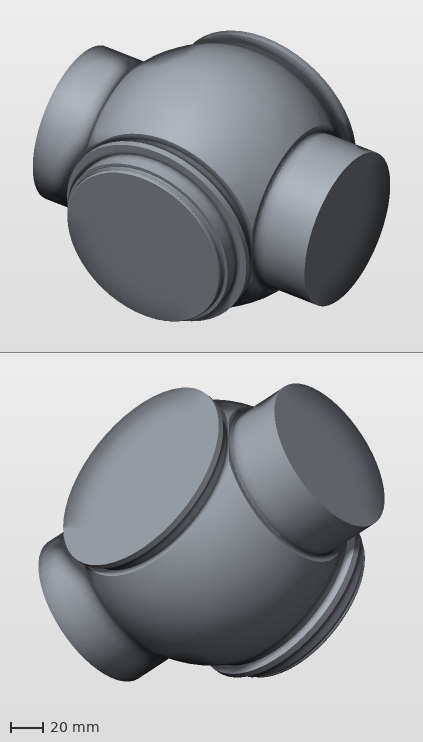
import cadquery as cq

SPHERE_DIAMETER = 165.0
BODY_HALF_X = 61.5
BODY_HALF_Y = 51.4

PIPE_END = 98.8
PIPE_RADIUS = 50.8
PIPE_START = 64.6
ROOT_STEP = 0.2
ROOT_FILLET = 1.2

NECK_RADIUS = 60.3
FLANGE_RADIUS = 65.2
FLANGE_END = 65.0
FLANGE_RIM_THICKNESS = 4.1
FLANGE_TAPER_LENGTH = 2.0

COLLAR_RADIUS = 58.3
COLLAR_END = 75.7
GROOVE_RADIUS = 55.0
GROOVE_TAPER_LENGTH = 1.2
GROOVE_TAPER_RISE = 1.0
PLUG_END = 80.8
LIP_LENGTH = 1.8
LIP_RADIUS = 55.5
LIP_CHAMFER = 0.5


def revolve_profile(points):
    """Revolve a (radius, distance along Y) profile about the Y axis, closed down to the axis."""
    start_y = points[0][1]
    end_y = points[-1][1]
    profile = cq.Workplane("XY").polyline([(0, start_y)] + points + [(0, end_y)]).close()
    return profile.revolve(360, (0, 0), (0, 1))


def make_body():
    sphere = cq.Workplane("XY").sphere(SPHERE_DIAMETER / 2)
    limits = cq.Workplane("XY").box(2 * BODY_HALF_X, 2 * BODY_HALF_Y, 2 * SPHERE_DIAMETER)
    return sphere.intersect(limits)


def make_pipe():
    root_radius = PIPE_RADIUS - ROOT_STEP
    profile = (
        cq.Workplane("XY")
        .lineTo(root_radius, 0)
        .lineTo(root_radius, BODY_HALF_X)
        .lineTo(root_radius + ROOT_FILLET, BODY_HALF_X)
        .radiusArc((root_radius, BODY_HALF_X + ROOT_FILLET), ROOT_FILLET)
        .lineTo(root_radius, PIPE_START)
        .lineTo(PIPE_RADIUS, PIPE_START)
        .lineTo(PIPE_RADIUS, PIPE_END)
        .lineTo(0, PIPE_END)
        .close()
    )
    return profile.revolve(360, (0, 0), (0, 1))


def make_flanged_neck():
    rim_start = FLANGE_END - FLANGE_RIM_THICKNESS
    return revolve_profile([
        (NECK_RADIUS, 0),
        (NECK_RADIUS, rim_start - FLANGE_TAPER_LENGTH),
        (FLANGE_RADIUS, rim_start),
        (FLANGE_RADIUS, FLANGE_END),
    ])


def make_plug():
    lip_start = PLUG_END - LIP_LENGTH
    return revolve_profile([
        (COLLAR_RADIUS, 0),
        (COLLAR_RADIUS, COLLAR_END),
        (GROOVE_RADIUS + GROOVE_TAPER_RISE, COLLAR_END),
        (GROOVE_RADIUS, COLLAR_END + GROOVE_TAPER_LENGTH),
        (GROOVE_RADIUS, lip_start),
        (LIP_RADIUS, lip_start + LIP_CHAMFER),
        (LIP_RADIUS, PLUG_END - LIP_CHAMFER),
        (LIP_RADIUS - LIP_CHAMFER, PLUG_END),
    ])


def turn_about_z(solid, angle):
    return solid.rotate((0, 0, 0), (0, 0, 1), angle)


result = make_body()
for pipe_angle in (90, -90):
    result = result.union(turn_about_z(make_pipe(), pipe_angle))
for neck_angle in (0, 180):
    result = result.union(turn_about_z(make_flanged_neck(), neck_angle))
result = result.union(turn_about_z(make_plug(), 180))